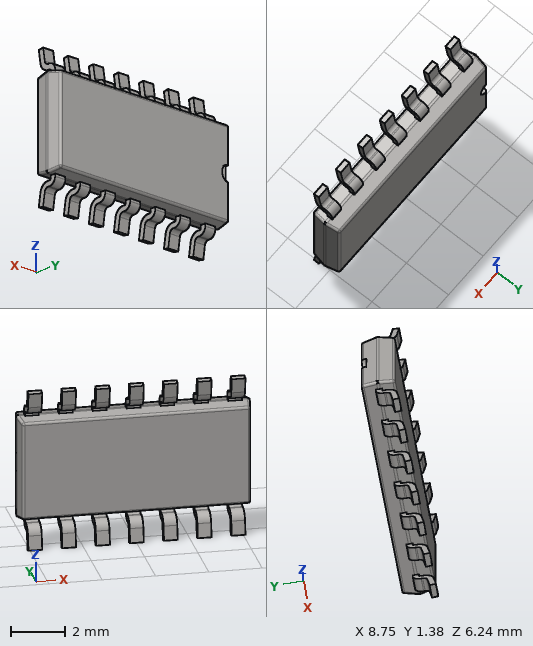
import cadquery as cq
import math


BODY_LENGTH = 8.75
BODY_WIDTH = 4.0
BODY_THICKNESS = 1.25
BODY_DRAFT = math.radians(10)
PARTING_BAND = 0.105
EDGE_RADIUS = 0.1

NOTCH_RADIUS = 0.35
NOTCH_DEPTH = 0.2

LEADS_PER_SIDE = 7
LEAD_PITCH = 1.27
LEAD_WIDTH = 0.515
LEAD_THICKNESS = 0.24
LEAD_SPAN = 6.24
LEAD_EMBEDMENT = 0.5
OVERALL_THICKNESS = 1.38
SHOULDER_START = 2.095
SHOULDER_INNER_RADIUS = 0.075
ANKLE_INNER_RADIUS = 0.18
FOOT_ANGLE = math.radians(9)

half_thickness = BODY_THICKNESS / 2
ridge_height = PARTING_BAND / 2 * math.tan(BODY_DRAFT)
ridge_length = BODY_LENGTH + 2 * ridge_height
ridge_width = BODY_WIDTH + 2 * ridge_height
face_length = ridge_length - 2 * half_thickness * math.tan(BODY_DRAFT)


def make_body():
    """Two drafted halves with rounded edges, their ridge trimmed to a flat parting band."""
    ridge_outline = cq.Workplane("XZ").rect(ridge_length, ridge_width)
    front_half = ridge_outline.extrude(half_thickness, taper=math.degrees(BODY_DRAFT))
    front_half = front_half.edges("not >Y").fillet(EDGE_RADIUS)
    body = front_half.union(front_half.mirror("XZ"))
    return body.intersect(cq.Workplane("XY").box(BODY_LENGTH, BODY_THICKNESS, BODY_WIDTH))


def make_notch():
    """Cutter for the half-round notch, centred on the end edge of the +Y face."""
    notch = cq.Workplane("XZ", origin=(-face_length / 2, half_thickness, 0))
    return notch.circle(NOTCH_RADIUS).extrude(NOTCH_DEPTH)


def lead_profile():
    """Closed outline of a +Z lead in the YZ plane: root, shoulder, shank, ankle and foot."""
    shoulder_outer_radius = SHOULDER_INNER_RADIUS + LEAD_THICKNESS
    ankle_outer_radius = ANKLE_INNER_RADIUS + LEAD_THICKNESS
    root_z = BODY_WIDTH / 2 - LEAD_EMBEDMENT
    upper_y = LEAD_THICKNESS / 2
    lower_y = -upper_y
    shoulder_y = lower_y - SHOULDER_INNER_RADIUS
    shank_inner_z = SHOULDER_START + SHOULDER_INNER_RADIUS
    shank_outer_z = SHOULDER_START + shoulder_outer_radius

    ankle_turn = math.pi / 2 - FOOT_ANGLE
    ankle_z = shank_inner_z + ankle_outer_radius
    tip_outer_y = half_thickness - OVERALL_THICKNESS
    tip_inner_y = tip_outer_y + LEAD_THICKNESS * math.cos(FOOT_ANGLE)
    tip_inner_z = LEAD_SPAN / 2
    tip_outer_z = tip_inner_z - LEAD_THICKNESS * math.sin(FOOT_ANGLE)
    foot_depth = (tip_inner_z - ankle_z + ANKLE_INNER_RADIUS * math.cos(ankle_turn)) * math.tan(FOOT_ANGLE)
    ankle_y = tip_inner_y + foot_depth + ANKLE_INNER_RADIUS * math.sin(ankle_turn)

    def on_shoulder(radius):
        """Middle of a shoulder arc."""
        reach = radius * math.sqrt(0.5)
        return (shoulder_y + reach, SHOULDER_START + reach)

    def on_ankle(radius, turn):
        """Point of an ankle arc, at an angle turned from the shank."""
        return (ankle_y - radius * math.sin(turn), ankle_z - radius * math.cos(turn))

    return (
        cq.Workplane("YZ")
        .moveTo(lower_y, root_z)
        .lineTo(lower_y, SHOULDER_START)
        .threePointArc(on_shoulder(SHOULDER_INNER_RADIUS), (shoulder_y, shank_inner_z))
        .lineTo(ankle_y, shank_inner_z)
        .threePointArc(on_ankle(ankle_outer_radius, ankle_turn / 2), on_ankle(ankle_outer_radius, ankle_turn))
        .lineTo(tip_outer_y, tip_outer_z)
        .lineTo(tip_inner_y, tip_inner_z)
        .lineTo(*on_ankle(ANKLE_INNER_RADIUS, ankle_turn))
        .threePointArc(on_ankle(ANKLE_INNER_RADIUS, ankle_turn / 2), (ankle_y, shank_outer_z))
        .lineTo(shoulder_y, shank_outer_z)
        .threePointArc(on_shoulder(shoulder_outer_radius), (upper_y, SHOULDER_START))
        .lineTo(upper_y, root_z)
        .close()
    )


def add_leads(body):
    """Join a row of leads to each long side of the body."""
    lead = lead_profile().extrude(LEAD_WIDTH / 2, both=True)
    opposite_lead = lead.mirror("XY")
    for index in range(LEADS_PER_SIDE):
        x = (index - (LEADS_PER_SIDE - 1) / 2) * LEAD_PITCH
        body = body.union(lead.translate((x, 0, 0))).union(opposite_lead.translate((x, 0, 0)))
    return body


result = add_leads(make_body().cut(make_notch()))